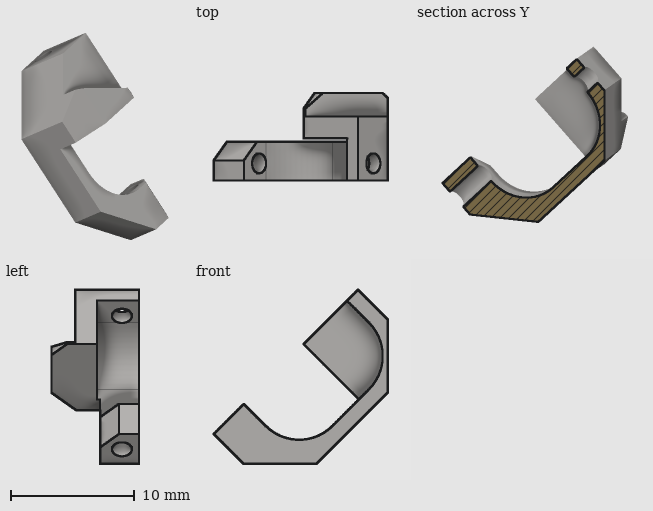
import cadquery as cq
import math


overall_size = 14.1
depth = 7.6
corner_chamfer = 4.19
end_face_depth = depth - corner_chamfer
width = overall_size * math.sqrt(2) - end_face_depth

wall = 1.27
lower_arm_width = 3.45
channel_radius = 3.8
channel_end = width - wall
channel_floor = depth - wall

low_height = 3.16
plate_underside = 3.41
shelf_height = 5.19
full_height = 7.1

plate_start = 10.3
ridge_tip_width = 0.23
ridge_angle = 30.0

lower_tip_chamfer = 1.52
ridge_tip_chamfer = 1.27
ridge_back_chamfer = 2.03

hole_diameter = 1.61
hole_depth = 1.75
hole_height = 1.4

tip_rise = end_face_depth / math.sqrt(2)


def box(x_start, x_end, y_start, y_end, z_start, z_end):
    size = (x_end - x_start, y_end - y_start, z_end - z_start)
    corner = (x_start, y_start, z_start)
    return cq.Workplane("XY").box(*size, centered=False).translate(corner)


def slope_cutter(x_start, x_end, y_edge, y_inward, z_top, size):
    """Wedge that removes the top edge at y_edge; y_inward is 1 or -1."""
    return (
        cq.Workplane("YZ", origin=(x_start, 0, 0))
        .moveTo(y_edge, z_top - size)
        .lineTo(y_edge + y_inward * size, z_top)
        .lineTo(y_edge, z_top)
        .close()
        .extrude(x_end - x_start)
    )


def make_block():
    """Outer block with its two back corners cut off, stepped in height."""
    block = (
        box(0, width, 0, depth, 0, full_height)
        .edges("|Z and >Y")
        .chamfer(corner_chamfer)
    )
    return block.cut(box(0, plate_start, 0, depth, low_height, full_height))


def make_channel():
    """Channel with rounded floor corners, running below the plate."""
    return (
        box(lower_arm_width, channel_end, 0, channel_floor, 0, plate_underside)
        .edges("|Z and >Y")
        .fillet(channel_radius)
    )


def make_shelf_cutter():
    """Clears the upper shelf and leaves a ridge with a slanted side."""
    tip_x = plate_start + ridge_tip_width
    back_x = tip_x + depth * math.tan(math.radians(ridge_angle))
    return (
        cq.Workplane("XY", origin=(0, 0, shelf_height))
        .polyline([(tip_x, 0), (width, 0), (width, depth), (back_x, depth)])
        .close()
        .extrude(full_height - shelf_height)
    )


def make_pin_hole():
    return (
        cq.Workplane("YZ")
        .center(hole_depth, hole_height)
        .circle(hole_diameter / 2)
        .extrude(width)
    )


clip = make_block().cut(make_channel()).cut(make_shelf_cutter())
clip = clip.cut(slope_cutter(0, lower_arm_width, 0, 1, low_height, lower_tip_chamfer))
clip = clip.cut(slope_cutter(plate_start, width, 0, 1, full_height, ridge_tip_chamfer))
clip = clip.cut(slope_cutter(plate_start, width, depth, -1, full_height, ridge_back_chamfer))
clip = clip.cut(make_pin_hole())

placement = cq.Plane(origin=(0, 0, tip_rise), xDir=(1, 0, 1), normal=(0, 1, 0))
result = cq.Workplane("XY").newObject([clip.val().moved(cq.Location(placement))])